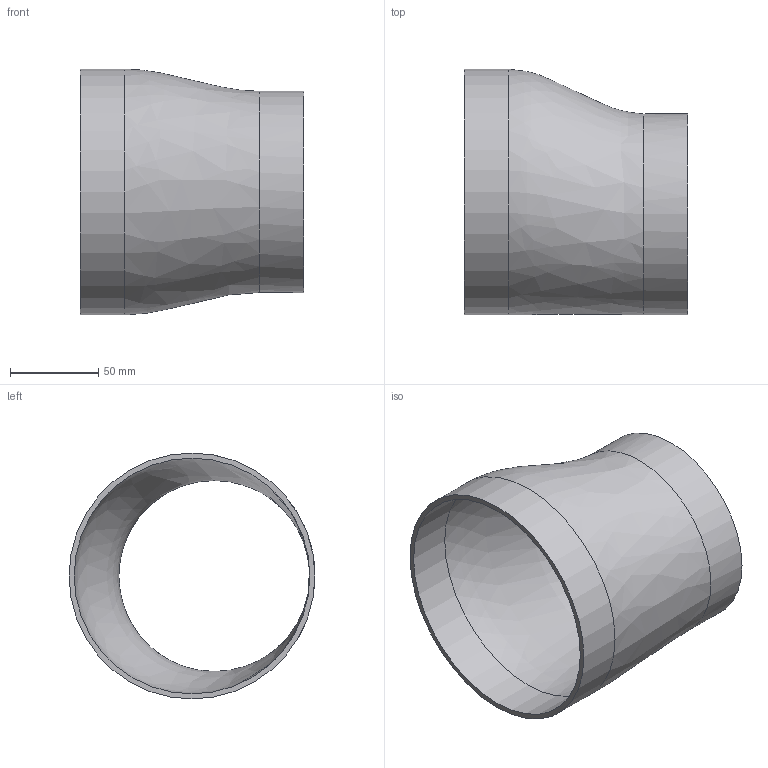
import cadquery as cq

LARGE_DIAMETER = 139.7
SMALL_DIAMETER = 114.3
WALL = 2.9
LENGTH = 127.0
COLLAR_LENGTH = 25.0
TRANSITION_SECTIONS = 13

LARGE_RADIUS = LARGE_DIAMETER / 2
SMALL_RADIUS = SMALL_DIAMETER / 2
SMALL_END_SHIFT = SMALL_RADIUS - LARGE_RADIUS
TRANSITION_LENGTH = LENGTH - 2 * COLLAR_LENGTH


def circle_section(x, y, radius):
    """Circle normal to X, centred at height zero."""
    return cq.Wire.makeCircle(radius, cq.Vector(x, y, 0), cq.Vector(1, 0, 0))


def collar(x, y, radius):
    """Solid cylinder of one collar length, starting at x."""
    return cq.Solid.makeCylinder(radius, COLLAR_LENGTH, cq.Vector(x, y, 0), cq.Vector(1, 0, 0))


def transition(large_radius, small_radius):
    """Solid S-shaped transition that is tangent to the collars at both ends."""
    sections = []
    for index in range(TRANSITION_SECTIONS):
        fraction = index / (TRANSITION_SECTIONS - 1)
        blend = fraction**2 * (3 - 2 * fraction)
        x = COLLAR_LENGTH + TRANSITION_LENGTH * fraction
        radius = large_radius + (small_radius - large_radius) * blend
        sections.append(circle_section(x, SMALL_END_SHIFT * blend, radius))
    return cq.Solid.makeLoft(sections)


def reducer_body(large_radius, small_radius):
    """Solid reducer shape: large collar, transition and small collar."""
    body = cq.Workplane(obj=collar(0, 0, large_radius))
    body = body.union(cq.Workplane(obj=transition(large_radius, small_radius)))
    small_collar = collar(LENGTH - COLLAR_LENGTH, SMALL_END_SHIFT, small_radius)
    return body.union(cq.Workplane(obj=small_collar))


outer_body = reducer_body(LARGE_RADIUS, SMALL_RADIUS)
bore = reducer_body(LARGE_RADIUS - WALL, SMALL_RADIUS - WALL)

result = outer_body.cut(bore)